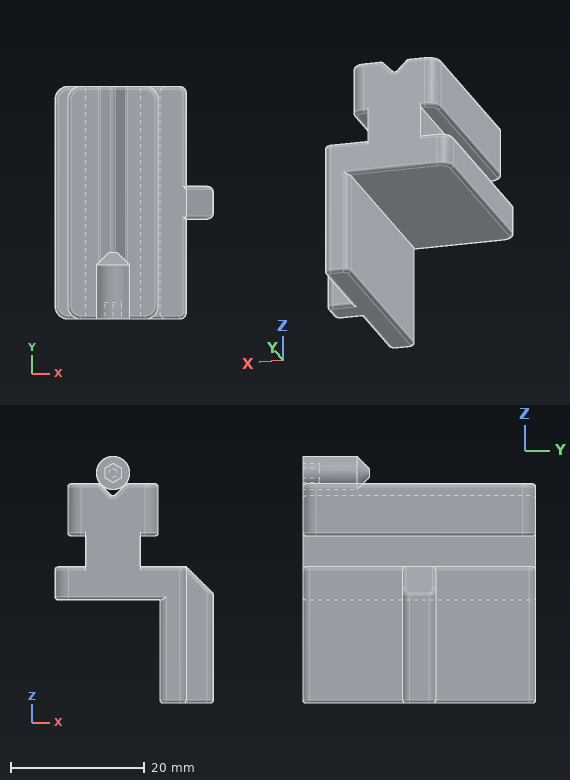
import cadquery as cq
import math

length = 35.0
overall_height = 37.1

corner_radius = 1.0
wide_corner_radius = 2 * corner_radius
edge_radius = corner_radius / 2

base_bottom = 15.5
base_thickness = 5.0
base_top = base_bottom + base_thickness
head_bottom = 25.1
head_top = 33.0

base_width = 19.75
leg_thickness = 3.97
rib_reach = 4.08
rib_thickness = 4.97

centre_x = 8.7
neck_width = 8.2
head_width = 13.58
groove_depth = 2.0

screw_diameter = 5.0
screw_radius = screw_diameter / 2
screw_length = 10.0
screw_tip_radius = 0.63
screw_centre_z = overall_height - screw_radius
hex_across_flats = 2.5
hex_depth = hex_across_flats


def block(x_min, x_max, z_min, z_max):
    """Box over the full length of the holder."""
    size = (x_max - x_min, length, z_max - z_min)
    return cq.Workplane("XY").box(*size, centered=False).translate((x_min, 0, z_min))


def make_base():
    """Plate with wide corners on the left, small corners on the right and rounded rims."""
    plate = block(0, base_width, base_bottom, base_top)
    plate = plate.edges("|Z and <X").fillet(wide_corner_radius)
    plate = plate.edges("|Z and >X").fillet(corner_radius)
    return plate.faces("<Z or >Z").edges().fillet(edge_radius)


def make_leg():
    """Upright wall under the right side of the plate."""
    leg = block(base_width - leg_thickness, base_width, 0, base_top)
    leg = leg.edges("|Z").fillet(corner_radius)
    return leg.faces("<Z or >Z").edges().fillet(edge_radius)


def make_rib():
    """Narrow rib on the right face of the leg, its top sloping down at 45 degrees."""
    inner_x = base_width - leg_thickness / 2
    outer_x = base_width + rib_reach
    outline = [
        (inner_x, 0),
        (outer_x, 0),
        (outer_x, base_top - rib_reach),
        (base_width, base_top),
        (inner_x, base_top),
    ]
    rib = (
        cq.Workplane("XZ")
        .polyline(outline)
        .close()
        .extrude(rib_thickness / 2, both=True)
        .translate((0, length / 2, 0))
    )
    rib = rib.edges("|Z and >X").fillet(corner_radius)
    rib = rib.faces("<Z").edges("not(<X)").fillet(edge_radius)
    slope_sides = cq.selectors.BoxSelector(
        (base_width, 0, base_top - rib_reach),
        (outer_x - corner_radius, length, base_top - edge_radius),
    )
    return rib.edges("not(|X or |Y or |Z)").edges(slope_sides).fillet(edge_radius)


def make_neck():
    """Plain web that runs through the rounded rims of the plate and the head."""
    return block(
        centre_x - neck_width / 2,
        centre_x + neck_width / 2,
        base_top - base_thickness / 2,
        head_bottom + edge_radius,
    )


def make_head():
    """Rounded block with a 90 degree V groove along its top."""
    head = block(centre_x - head_width / 2, centre_x + head_width / 2, head_bottom, head_top)
    head = head.edges("|Z").fillet(wide_corner_radius)
    groove = (
        cq.Workplane("XZ")
        .polyline([
            (centre_x - groove_depth, head_top),
            (centre_x, head_top - groove_depth),
            (centre_x + groove_depth, head_top),
        ])
        .close()
        .extrude(-length)
    )
    head = head.cut(groove)
    head = head.faces("<Z").edges().fillet(edge_radius)
    groove_edges = cq.selectors.BoxSelector(
        (centre_x - 2 * groove_depth, length / 4, head_top - 2 * groove_depth),
        (centre_x + 2 * groove_depth, 3 * length / 4, head_top + groove_depth),
    )
    head = head.edges("|Y").edges(groove_edges).fillet(edge_radius)
    return head.faces(">Z").edges("not(|Y)").fillet(edge_radius)


def make_holder():
    """The single holder body, joined from its plate, leg, rib, neck and head."""
    holder = make_base().union(make_leg()).union(make_rib())
    return holder.union(make_neck()).union(make_head())


def make_screw():
    """Cone-point set screw lying along the groove, with a hexagon socket in its front end."""
    screw = (
        cq.Workplane("XZ")
        .circle(screw_radius)
        .extrude(-screw_length)
        .faces(">Y")
        .chamfer(screw_radius - screw_tip_radius)
    )
    hex_across_corners = hex_across_flats / math.cos(math.pi / 6)
    socket = (
        cq.Workplane("XZ")
        .polygon(6, hex_across_corners)
        .extrude(-hex_depth)
        .rotate((0, 0, 0), (0, 1, 0), 30)
    )
    return screw.cut(socket).translate((centre_x, 0, screw_centre_z))


holder = make_holder()
screw = make_screw()
result = cq.Compound.makeCompound([holder.solids().val(), screw.solids().val()])